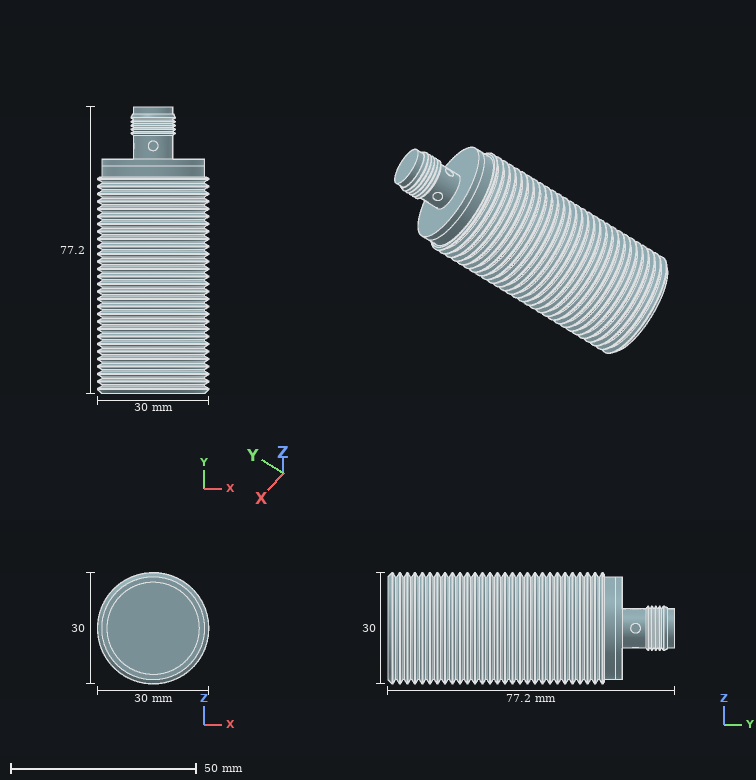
import cadquery as cq
import math

length = 77.2
flank_slope = math.tan(math.radians(30))

housing_end = 61.3
housing_radius = 27.7 / 2
thread_radius = 30.0 / 2
thread_height = thread_radius - housing_radius
ridge_count = 29
front_crest = 1.2
rear_crest = 57.8
thread_end = 58.3
ridge_pitch = (rear_crest - front_crest) / (ridge_count - 1)
half_crest = ridge_pitch / 16
half_base = half_crest + thread_height * flank_slope

face_radius = 12.4
flange_radius = 12.75
lip_thickness = 0.3
face_thickness = 2.0

cap_end = 63.15

connector_radius = 5.3
plug_thread_radius = 12.0 / 2
plug_thread_start = 69.6
plug_thread_end = 75.3
plug_ridge_count = 4
plug_last_valley = 73.7
plug_pitch = (plug_last_valley - plug_thread_start) / plug_ridge_count
plug_half_crest = plug_pitch / 16
plug_valley_radius = plug_thread_radius - (plug_pitch / 2 - plug_half_crest) / flank_slope
lead_in_radius = 5.55
lead_in_length = 0.9

window_count = 4
window_radius = 1.3
window_depth = 0.8
window_y = 66.7


def revolve_about_y(points):
    """Closed outline of (radius, y) points turned into a solid around the Y axis."""
    return cq.Workplane("XY").polyline(points).close().revolve(360, (0, 0, 0), (0, 1, 0))


def disc(radius, start, end):
    """Solid cylinder on the Y axis between two Y positions."""
    return cq.Workplane("XZ", origin=(0, start, 0)).circle(radius).extrude(start - end)


def make_face():
    flange = disc(flange_radius, lip_thickness, face_thickness)
    return disc(face_radius, 0, lip_thickness).union(flange)


def make_housing(face):
    outline = [(0, 0), (housing_radius, 0), (thread_radius, front_crest - half_crest)]
    for i in range(ridge_count):
        crest = front_crest + i * ridge_pitch
        if i > 0:
            outline.append((housing_radius, crest - half_base))
            outline.append((thread_radius, crest - half_crest))
        outline.append((thread_radius, crest + half_crest))
        if i < ridge_count - 1:
            outline.append((housing_radius, crest + half_base))
    cut_radius = thread_radius - (thread_end - rear_crest - half_crest) / flank_slope
    outline += [(cut_radius, thread_end), (housing_radius, thread_end)]
    outline += [(housing_radius, housing_end), (0, housing_end)]
    return revolve_about_y(outline).cut(face)


def make_cap():
    return disc(housing_radius, housing_end, cap_end)


def make_windows():
    """Flat-ended round windows, tangent to the connector barrel on its four sides."""
    window = (
        cq.Workplane("XY", origin=(0, window_y, connector_radius - window_depth))
        .circle(window_radius)
        .extrude(window_depth)
    )
    axis_start, axis_end = (0, 0, 0), (0, 1, 0)
    return [window.rotate(axis_start, axis_end, i * 360 / window_count) for i in range(window_count)]


def make_connector(windows):
    outline = [(0, cap_end), (connector_radius, cap_end), (connector_radius, plug_thread_start)]
    for i in range(plug_ridge_count):
        crest = plug_thread_start + (i + 0.5) * plug_pitch
        outline.append((plug_thread_radius, crest - plug_half_crest))
        outline.append((plug_thread_radius, crest + plug_half_crest))
        outline.append((plug_valley_radius, crest + plug_pitch / 2))
    outline += [
        (plug_thread_radius, plug_last_valley + plug_pitch / 2 - plug_half_crest),
        (plug_thread_radius, plug_thread_end - lead_in_length),
        (lead_in_radius, plug_thread_end),
        (connector_radius, plug_thread_end),
        (connector_radius, length),
        (0, length),
    ]
    connector = revolve_about_y(outline)
    for window in windows:
        connector = connector.cut(window)
    return connector


face = make_face()
housing = make_housing(face)
cap = make_cap()
windows = make_windows()
connector = make_connector(windows)

result = cq.Compound.makeCompound(
    [housing.val(), face.val(), cap.val(), connector.val(), *[window.val() for window in windows]]
)